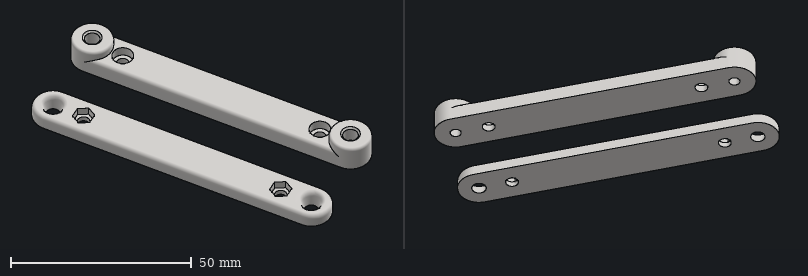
import cadquery as cq
LENGTH = 92.0
WIDTH = 12.0
END_RADIUS = WIDTH / 2
BAR_SPACING = 24.0
END_X = LENGTH / 2 - END_RADIUS
SCREW_X = 30.5
SCREW_DIAMETER = 3.5
END_POINTS = [(-END_X, 0), (END_X, 0)]
SCREW_POINTS = [(-SCREW_X, 0), (SCREW_X, 0)]

BOSS_BAR_HEIGHT = 5.2
BOSS_BAR_FILLET = 1.5
BOSS_HEIGHT = 8.0
BOSS_FILLET = 1.0
BOSS_HOLE_DIAMETER = 3.0
BOSS_BORE_DIAMETER = 4.3
BOSS_BORE_DEPTH = 5.0
BOSS_BORE_CHAMFER = 0.55
SCREW_HEAD_DIAMETER = 6.0
SCREW_HEAD_DEPTH = 3.0

EYELET_BAR_HEIGHT = 4.1
EYELET_BAR_FILLET = 1.6
EYELET_HOLE_DIAMETER = 4.0
EYELET_TAPER_DIAMETER = 6.3
EYELET_MOUTH_FILLET = 1.9
RIM_EXTENSION = 1.4
NUT_WIDTH = 5.3
NUT_DEPTH = 2.5


def rounded_beam(height, fillet):
    """Beam between the end centres, with its long top edges rounded."""
    beam = cq.Workplane("XY").box(2 * END_X, WIDTH, height, centered=(True, True, False))
    return beam.faces(">Z").edges("|X").fillet(fillet)


def cylinders(points, diameter, bottom, top):
    """Upright cylinders at the given points."""
    plane = cq.Workplane("XY").workplane(offset=bottom).pushPoints(points)
    return plane.circle(diameter / 2).extrude(top - bottom)


def make_boss_bar():
    bosses = cylinders(END_POINTS, WIDTH, 0, BOSS_HEIGHT).faces(">Z").edges().fillet(BOSS_FILLET)
    bar = rounded_beam(BOSS_BAR_HEIGHT, BOSS_BAR_FILLET).union(bosses)

    bar = bar.cut(cylinders(END_POINTS, BOSS_HOLE_DIAMETER, 0, BOSS_HEIGHT))
    bore = cylinders(END_POINTS, BOSS_BORE_DIAMETER, BOSS_HEIGHT - BOSS_BORE_DEPTH, BOSS_HEIGHT)
    bar = bar.cut(bore)
    mouth_radius = BOSS_BORE_DIAMETER / 2 + BOSS_BORE_CHAMFER
    mouth = cq.Solid.makeCone(BOSS_BORE_DIAMETER / 2, mouth_radius, BOSS_BORE_CHAMFER)
    for x, _ in END_POINTS:
        bar = bar.cut(cq.Workplane(mouth).translate((x, 0, BOSS_HEIGHT - BOSS_BORE_CHAMFER)))

    bar = bar.cut(cylinders(SCREW_POINTS, SCREW_DIAMETER, 0, BOSS_BAR_HEIGHT))
    head_floor = BOSS_BAR_HEIGHT - SCREW_HEAD_DEPTH
    return bar.cut(cylinders(SCREW_POINTS, SCREW_HEAD_DIAMETER, head_floor, BOSS_BAR_HEIGHT))


def tapered_hole(x):
    """Hole through the eyelet that widens towards the top."""
    hole = cq.Solid.makeCone(EYELET_HOLE_DIAMETER / 2, EYELET_TAPER_DIAMETER / 2, EYELET_BAR_HEIGHT)
    return cq.Workplane(hole).translate((x, 0, 0))


def rim():
    """Round tube bent about the +X end, with its straight runs, centred on the Z axis."""
    tube_y = END_RADIUS - EYELET_BAR_FILLET
    tube_z = EYELET_BAR_HEIGHT - EYELET_BAR_FILLET
    section = cq.Workplane("YZ").pushPoints([(-tube_y, tube_z), (tube_y, tube_z)])
    runs = section.circle(EYELET_BAR_FILLET).extrude(-RIM_EXTENSION)
    ring = cq.Workplane(cq.Solid.makeTorus(tube_y, EYELET_BAR_FILLET, cq.Vector(0, 0, tube_z)))
    ring = ring.rotate((0, 0, 0), (0, 0, 1), 180)
    half = cq.Workplane("XY").box(WIDTH, WIDTH, WIDTH, centered=(False, True, True))
    return ring.intersect(half).union(runs)


def make_eyelet_bar():
    bar = cq.Workplane("XY").box(LENGTH, WIDTH, EYELET_BAR_HEIGHT, centered=(True, True, False))
    for x, _ in END_POINTS:
        bar = bar.cut(tapered_hole(x))
    bar = bar.faces(">Z").edges("%CIRCLE").fillet(EYELET_MOUTH_FILLET)

    rim_diameter = WIDTH - 2 * EYELET_BAR_FILLET
    ends = cylinders(END_POINTS, WIDTH, 0, EYELET_BAR_HEIGHT - EYELET_BAR_FILLET)
    ends = ends.union(cylinders(END_POINTS, rim_diameter, 0, EYELET_BAR_HEIGHT))
    bar = bar.intersect(rounded_beam(EYELET_BAR_HEIGHT, EYELET_BAR_FILLET).union(ends))

    for x, turn in ((END_X, 0), (-END_X, 180)):
        end_rim = rim().rotate((0, 0, 0), (0, 0, 1), turn).translate((x, 0, 0))
        bar = bar.union(end_rim.cut(tapered_hole(x)))

    bar = bar.cut(cylinders(SCREW_POINTS, SCREW_DIAMETER, 0, EYELET_BAR_HEIGHT))
    corner_diameter = 2 * NUT_WIDTH / 3 ** 0.5
    for x, y in SCREW_POINTS:
        pocket = cq.Workplane("XY").polygon(6, corner_diameter).extrude(NUT_DEPTH)
        pocket = pocket.rotate((0, 0, 0), (0, 0, 1), 30)
        bar = bar.cut(pocket.translate((x, y, EYELET_BAR_HEIGHT - NUT_DEPTH)))
    return bar


boss_bar = make_boss_bar().translate((0, BAR_SPACING / 2, 0))
eyelet_bar = make_eyelet_bar().translate((0, -BAR_SPACING / 2, 0))

result = cq.Compound.makeCompound([boss_bar.val(), eyelet_bar.val()])